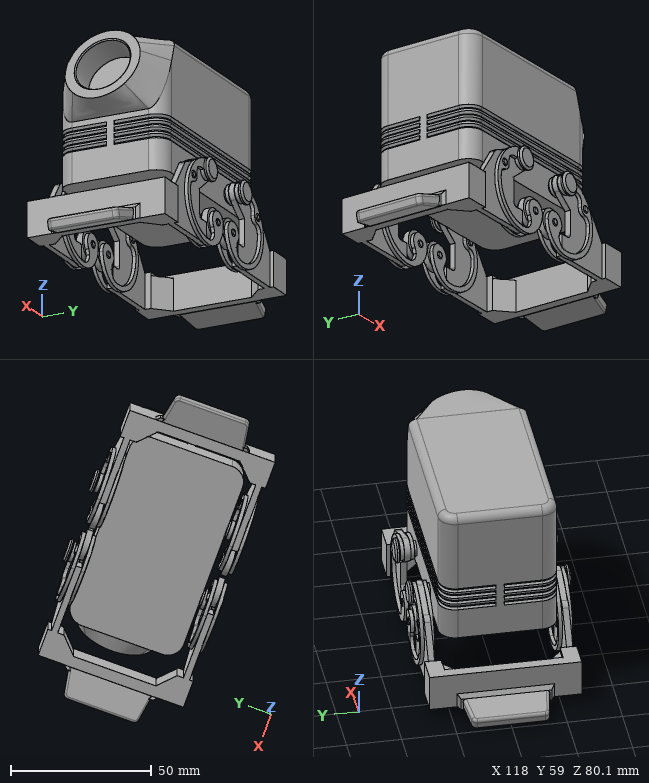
import cadquery as cq
import math


OVERLAP = 1.2

HOOD_HALF_LENGTH = 36.4
HOOD_HALF_WIDTH = 21.5
HOOD_BOTTOM = 22.0
HOOD_TOP = 73.9
HOOD_CORNER_RADIUS = 6.1
HOOD_TOP_FILLET = 3.0

GROOVE_COUNT = 4
GROOVE_PITCH = 2.5
GROOVE_LOWER_FLANK = 0.7
GROOVE_UPPER_FLANK = 1.0
GROOVE_DEPTH = 0.7
LOWEST_GROOVE = 34.2
GROOVE_BRIDGE_WIDTH = 3.1

OUTLET_TILT = 17.7
OUTLET_LENGTH = 11.0
OUTLET_RADIUS = 14.9
OUTLET_BORE_RADIUS = 10.7
OUTLET_BORE_CHAMFER = 0.5
OUTLET_START_X = 27.4
RIM_ANGLES = (46, 61, 78, 136)

BRACKET_OUTER_X = 47.5
BRACKET_LENGTH = 10.1
BRACKET_HEIGHT = 13.9
BRACKET_HALF_WIDTH = 27.6
BRACKET_WALL = 4.0
BRACKET_ARM = 6.1
GUSSET_SIZE = 5.9
GUSSET_HEIGHT = 12.5

HANDLE_TIP_X = 59.0
HANDLE_LOWEST_Z = -2.8
HANDLE_TILT = 15.0
HANDLE_THICKNESS = 4.4
HANDLE_UPPER_FILLET = 1.2
HANDLE_LOWER_FILLET = 0.7
HANDLE_ROOT_HALF_WIDTH = 16.4
HANDLE_TIP_HALF_WIDTH = 13.9
HANDLE_CORNER_RADIUS = 1.9
FLARE_LENGTH = 1.3
FLARE_HALF_WIDTH = 17.7
FLARE_TOP = 5.7

PLATE_INNER_Y = 23.8
PLATE_OUTER_Y = 26.2
LEVER_INNER_Y = 22.4
LEVER_OUTER_Y = BRACKET_HALF_WIDTH
RIVET_HEIGHT = 0.4
RIVET_RADIUS = 1.4

PIN_X = 13.4
PIN_Z = 27.8
PIN_RADIUS = 2.8
PIN_HEAD_RADIUS = 4.5
PIN_HEAD_INNER_Y = 28.0
PIN_HEAD_OUTER_Y = 29.5
PIN_HEAD_CHAMFER = (0.7, 1.0)

PLATE_EYE_RADIUS = 4.1
PLATE_EYE_START = 112
PLATE_EYE_MIDDLE = 30
PLATE_EYE_END = -51
PLATE_SHOULDER_LOW = (-29.5, 25.2)
PLATE_SHOULDER_MID = (-28.5, 26.2)
PLATE_SHOULDER_HIGH = (-26.9, 26.8)
NOTCH_LEFT_X = -17.6
NOTCH_UPPER_Z = 19.6
NOTCH_FLOOR_Z = 8.5
NOTCH_FILLET = 1.5
PLATE_END_X = -12.3

LEVER_RING_RADIUS = 16.0
LEVER_RING_WIDTH = 2.0
LEVER_EYE_RADIUS = 3.8
LEVER_LUG = (-11.7, -5.5)
LEVER_LUG_RADIUS = 2.6
LEVER_CURL = (7.4, -17.6)
LEVER_CURL_RADIUS = 4.2
LEVER_ARM_END = (-6.1, -1.0)
LEVER_ARM_BEND = (-8.3, -1.9)
LEVER_ARM_FOOT_Z = -3.9
LEVER_LUG_BEND = (-13.3, -9.2)
LEVER_HOOK_BEND = (4.0, -24.6)
LEVER_HOOK_END = (4.8, -22.3)
LEVER_TAIL_BEND = (8.6, -24.8)
ROLLER_RADIUS = 5.5


def polar(centre, radius, angle):
    """Point on a circle, angle in degrees from the first axis."""
    turn = math.radians(angle)
    return centre[0] + radius * math.cos(turn), centre[1] + radius * math.sin(turn)


def slab(outline, inner_y, outer_y):
    """Extrude an XZ outline between two distances on the -Y side."""
    return outline.extrude(outer_y - inner_y).translate((0, -inner_y, 0))


def disc(centre, radius, inner_y, outer_y):
    return slab(cq.Workplane("XZ").center(*centre).circle(radius), inner_y, outer_y)


def make_hood():
    hood = (
        cq.Workplane("XY", origin=(0, 0, HOOD_BOTTOM))
        .rect(2 * HOOD_HALF_LENGTH, 2 * HOOD_HALF_WIDTH)
        .extrude(HOOD_TOP - HOOD_BOTTOM)
        .edges("|Z").fillet(HOOD_CORNER_RADIUS)
        .faces(">Z").edges().fillet(HOOD_TOP_FILLET)
    )
    for index in range(GROOVE_COUNT):
        hood = hood.cut(make_groove(LOWEST_GROOVE + index * GROOVE_PITCH))
    return hood


def hood_slice(bottom_z, height, inset, flare):
    """Slice with the hood's plan, set inwards by inset and widening upwards by flare."""
    return (
        cq.Workplane("XY", origin=(0, 0, bottom_z))
        .sketch()
        .rect(2 * (HOOD_HALF_LENGTH - inset), 2 * (HOOD_HALF_WIDTH - inset))
        .vertices()
        .fillet(HOOD_CORNER_RADIUS - inset)
        .finalize()
        .extrude(height, taper=-math.degrees(math.atan(flare / height)))
    )


def make_groove(bottom_z):
    """V-shaped ring around the hood, interrupted by a bridge on both end faces."""
    height = GROOVE_LOWER_FLANK + GROOVE_UPPER_FLANK
    block = cq.Workplane("XY", origin=(0, 0, bottom_z))
    ring = block.rect(3 * HOOD_HALF_LENGTH, 3 * HOOD_HALF_WIDTH).extrude(height)
    bridge = block.rect(3 * HOOD_HALF_LENGTH, GROOVE_BRIDGE_WIDTH).extrude(height)
    lower = hood_slice(bottom_z, GROOVE_LOWER_FLANK, 0, -GROOVE_DEPTH)
    upper = hood_slice(bottom_z + GROOVE_LOWER_FLANK, GROOVE_UPPER_FLANK, GROOVE_DEPTH, GROOVE_DEPTH)
    return ring.cut(lower).cut(upper).cut(bridge)


def make_outlet():
    """Ruled loft from the tilted section through the hood to a round rim, and its bore."""
    tilt = math.radians(OUTLET_TILT)
    base = cq.Plane(
        origin=(OUTLET_START_X, 0, HOOD_TOP),
        xDir=(0, 1, 0),
        normal=(math.cos(tilt), 0, math.sin(tilt)),
    )
    fillet_height = HOOD_TOP_FILLET / math.cos(tilt)
    corner_height = HOOD_CORNER_RADIUS / math.sin(tilt)
    section_bottom = -(HOOD_HALF_LENGTH - OUTLET_START_X) / math.sin(tilt)
    corner_start = section_bottom + corner_height
    flat_top = HOOD_HALF_WIDTH - HOOD_TOP_FILLET
    flat_bottom = HOOD_HALF_WIDTH - HOOD_CORNER_RADIUS
    section = (
        cq.Workplane(base)
        .moveTo(-flat_top, 0)
        .lineTo(flat_top, 0)
        .ellipseArc(HOOD_TOP_FILLET, fillet_height, 0, 90, sense=-1, startAtCurrent=True)
        .lineTo(HOOD_HALF_WIDTH, corner_start)
        .ellipseArc(HOOD_CORNER_RADIUS, corner_height, 270, 360, sense=-1, startAtCurrent=True)
        .lineTo(-flat_bottom, section_bottom)
        .ellipseArc(HOOD_CORNER_RADIUS, corner_height, 180, 270, sense=-1, startAtCurrent=True)
        .lineTo(-HOOD_HALF_WIDTH, -fillet_height)
        .ellipseArc(HOOD_TOP_FILLET, fillet_height, 90, 180, sense=-1, startAtCurrent=True)
        .close()
    )
    centre = (0, section_bottom / 2)
    stops = RIM_ANGLES + tuple(360 - angle for angle in reversed(RIM_ANGLES))
    rim = cq.Workplane(base).workplane(offset=OUTLET_LENGTH)
    rim = rim.moveTo(*polar(centre, OUTLET_RADIUS, 90 - stops[-1]))
    previous = stops[-1] - 360
    for stop in stops:
        middle = polar(centre, OUTLET_RADIUS, 90 - (previous + stop) / 2)
        rim = rim.threePointArc(middle, polar(centre, OUTLET_RADIUS, 90 - stop))
        previous = stop
    rim = rim.close()
    spout = cq.Solid.makeLoft([section.val(), rim.val()], True)
    bore = (
        cq.Workplane(base)
        .center(*centre)
        .circle(OUTLET_BORE_RADIUS)
        .extrude(OUTLET_LENGTH)
    )
    flared_mouth = (
        cq.Workplane(base)
        .workplane(offset=OUTLET_LENGTH)
        .center(*centre)
        .circle(OUTLET_BORE_RADIUS + OUTLET_BORE_CHAMFER)
        .extrude(-OUTLET_BORE_CHAMFER, taper=45)
    )
    bore = bore.union(flared_mouth)
    beyond = (
        cq.Workplane(base)
        .center(*centre)
        .rect(3 * HOOD_HALF_WIDTH, 2 * OVERLAP - section_bottom)
        .extrude(OUTLET_LENGTH)
    )
    return cq.Workplane(spout), bore, beyond


def make_bracket():
    """U-shaped end bracket on the -X side with corner gussets."""
    inner_x = BRACKET_LENGTH - BRACKET_OUTER_X
    wall_x = BRACKET_WALL - BRACKET_OUTER_X
    arm_y = BRACKET_HALF_WIDTH - BRACKET_ARM
    bracket = (
        cq.Workplane("XY")
        .polyline([
            (-BRACKET_OUTER_X, -BRACKET_HALF_WIDTH),
            (inner_x, -BRACKET_HALF_WIDTH),
            (inner_x, -arm_y),
            (wall_x, -arm_y),
            (wall_x, arm_y),
            (inner_x, arm_y),
            (inner_x, BRACKET_HALF_WIDTH),
            (-BRACKET_OUTER_X, BRACKET_HALF_WIDTH),
        ])
        .close()
        .extrude(BRACKET_HEIGHT)
    )
    for side in (-1, 1):
        gusset = (
            cq.Workplane("XY")
            .polyline([
                (wall_x, side * arm_y),
                (inner_x, side * arm_y),
                (wall_x, side * (arm_y - GUSSET_SIZE)),
            ])
            .close()
            .extrude(GUSSET_HEIGHT)
        )
        bracket = bracket.union(gusset)
    return bracket


def make_handle():
    """Drooping grip with rounded edges and a flared root on the bracket face."""
    tilt = math.radians(HANDLE_TILT)
    root_x = -BRACKET_OUTER_X - FLARE_LENGTH
    flat = HANDLE_THICKNESS - HANDLE_UPPER_FILLET - HANDLE_LOWER_FILLET
    fillet_step = HANDLE_UPPER_FILLET - HANDLE_LOWER_FILLET
    upper_round = (
        HANDLE_UPPER_FILLET - HANDLE_TIP_X,
        HANDLE_LOWEST_Z + HANDLE_LOWER_FILLET + flat * math.cos(tilt) + fillet_step * math.sin(tilt),
    )
    tip_plane = cq.Plane(
        origin=(upper_round[0], 0, upper_round[1]),
        xDir=(math.cos(tilt), 0, math.sin(tilt)),
        normal=(-math.sin(tilt), 0, math.cos(tilt)),
    )
    reach = (root_x - upper_round[0]) / math.cos(tilt) + HANDLE_THICKNESS
    grip = (
        cq.Workplane(tip_plane)
        .workplane(offset=HANDLE_UPPER_FILLET - HANDLE_THICKNESS)
        .polyline([
            (-HANDLE_UPPER_FILLET, -HANDLE_TIP_HALF_WIDTH),
            (reach, -HANDLE_ROOT_HALF_WIDTH),
            (reach, HANDLE_ROOT_HALF_WIDTH),
            (-HANDLE_UPPER_FILLET, HANDLE_TIP_HALF_WIDTH),
        ])
        .close()
        .extrude(HANDLE_THICKNESS)
    )
    thickness_edges = cq.selectors.ParallelDirSelector(tip_plane.zDir)
    grip = grip.edges(thickness_edges).edges("<X").fillet(HANDLE_CORNER_RADIUS)
    upper_face = cq.selectors.DirectionMinMaxSelector(tip_plane.zDir)
    lower_face = cq.selectors.DirectionMinMaxSelector(tip_plane.zDir, directionMax=False)
    grip = grip.faces(lower_face).edges().fillet(HANDLE_LOWER_FILLET)
    grip = grip.faces(upper_face).edges().fillet(HANDLE_UPPER_FILLET)
    keep = (
        cq.Workplane("XY", origin=(-HANDLE_TIP_X, 0, 0))
        .box(2 * (HANDLE_TIP_X - BRACKET_OUTER_X), 3 * HANDLE_ROOT_HALF_WIDTH, 3 * BRACKET_HEIGHT)
    )
    root_rise = (root_x - upper_round[0]) * math.tan(tilt)
    root_top = upper_round[1] + root_rise + HANDLE_UPPER_FILLET / math.cos(tilt)
    root_bottom = root_top - HANDLE_THICKNESS / math.cos(tilt)
    flare = (
        cq.Workplane("YZ", origin=(-BRACKET_OUTER_X, 0, 0))
        .center(0, FLARE_TOP / 2)
        .rect(2 * FLARE_HALF_WIDTH, FLARE_TOP)
        .workplane(offset=-FLARE_LENGTH)
        .center(0, (root_top + root_bottom - FLARE_TOP) / 2)
        .rect(2 * HANDLE_ROOT_HALF_WIDTH, root_top - root_bottom)
        .loft(ruled=True)
    )
    return grip.intersect(keep).union(flare)


def make_side_plate():
    """Plate on the -X, -Y quarter that joins the bracket to the pin eye."""
    pin = (-PIN_X, PIN_Z)
    root_x = BRACKET_LENGTH - BRACKET_OUTER_X
    outline = (
        cq.Workplane("XZ")
        .moveTo(root_x - OVERLAP, 0)
        .lineTo(root_x - OVERLAP, BRACKET_HEIGHT)
        .lineTo(root_x, BRACKET_HEIGHT)
        .lineTo(*PLATE_SHOULDER_LOW)
        .threePointArc(PLATE_SHOULDER_MID, PLATE_SHOULDER_HIGH)
        .lineTo(*polar(pin, PLATE_EYE_RADIUS, PLATE_EYE_START))
        .threePointArc(
            polar(pin, PLATE_EYE_RADIUS, PLATE_EYE_MIDDLE),
            polar(pin, PLATE_EYE_RADIUS, PLATE_EYE_END),
        )
        .lineTo(NOTCH_LEFT_X, NOTCH_UPPER_Z)
        .lineTo(NOTCH_LEFT_X, NOTCH_FLOOR_Z + NOTCH_FILLET)
        .radiusArc((NOTCH_LEFT_X + NOTCH_FILLET, NOTCH_FLOOR_Z), -NOTCH_FILLET)
        .lineTo(PLATE_END_X, NOTCH_FLOOR_Z)
        .lineTo(PLATE_END_X, 0)
        .close()
    )
    return slab(outline, PLATE_INNER_Y, PLATE_OUTER_Y)


def make_lever_layer(inner_y, outer_y):
    """One C-shaped lever sheet that ends in a curl around the roller."""
    ring = (0, LEVER_EYE_RADIUS - LEVER_RING_RADIUS)
    inner_radius = LEVER_RING_RADIUS - LEVER_RING_WIDTH
    lug_right = LEVER_LUG[0] + LEVER_LUG_RADIUS
    outline = (
        cq.Workplane("XZ", origin=(-PIN_X, 0, PIN_Z))
        .moveTo(0, LEVER_EYE_RADIUS)
        .threePointArc((LEVER_EYE_RADIUS, 0), polar((0, 0), LEVER_EYE_RADIUS, -165))
        .lineTo(*LEVER_ARM_END)
        .threePointArc(LEVER_ARM_BEND, (lug_right, LEVER_ARM_FOOT_Z))
        .lineTo(lug_right, LEVER_LUG[1])
        .threePointArc(
            polar(LEVER_LUG, LEVER_LUG_RADIUS, -45),
            polar(LEVER_LUG, LEVER_LUG_RADIUS, -90),
        )
        .threePointArc(LEVER_LUG_BEND, polar(ring, inner_radius, 175))
        .threePointArc(polar(ring, inner_radius, 225), polar(ring, inner_radius, 277))
        .threePointArc(LEVER_HOOK_BEND, LEVER_HOOK_END)
        .lineTo(*polar(LEVER_CURL, LEVER_CURL_RADIUS, 220))
        .threePointArc(
            polar(LEVER_CURL, LEVER_CURL_RADIUS, 110),
            polar(LEVER_CURL, LEVER_CURL_RADIUS, 0),
        )
        .threePointArc(LEVER_TAIL_BEND, polar(ring, LEVER_RING_RADIUS, 270))
        .threePointArc(polar(ring, LEVER_RING_RADIUS, 180), (0, LEVER_EYE_RADIUS))
        .close()
    )
    return slab(outline, inner_y, outer_y)


def make_lever():
    curl = (LEVER_CURL[0] - PIN_X, LEVER_CURL[1] + PIN_Z)
    lug = (LEVER_LUG[0] - PIN_X, LEVER_LUG[1] + PIN_Z)
    lever = make_lever_layer(PLATE_OUTER_Y, LEVER_OUTER_Y)
    lever = lever.union(make_lever_layer(LEVER_INNER_Y, PLATE_INNER_Y))
    lever = lever.union(disc(curl, ROLLER_RADIUS, PLATE_INNER_Y, PLATE_OUTER_Y))
    for centre in (curl, lug):
        rivet = disc(centre, RIVET_RADIUS, LEVER_INNER_Y - RIVET_HEIGHT, LEVER_OUTER_Y + RIVET_HEIGHT)
        lever = lever.union(rivet.faces("|Y").chamfer(RIVET_HEIGHT))
    return lever


def make_pin():
    pin = (-PIN_X, PIN_Z)
    shank = disc(pin, PIN_RADIUS, HOOD_HALF_WIDTH - OVERLAP, PIN_HEAD_OUTER_Y)
    head = disc(pin, PIN_HEAD_RADIUS, PIN_HEAD_INNER_Y, PIN_HEAD_OUTER_Y)
    head = head.faces("<Y").chamfer(*PIN_HEAD_CHAMFER)
    return shank.union(head)


quarter = make_side_plate().union(make_lever()).union(make_pin())
end = make_bracket().union(make_handle()).union(quarter).union(quarter.mirror("XZ"))
spout, bore, beyond = make_outlet()
hood = make_hood().cut(beyond).union(spout).cut(bore)
result = hood.union(end).union(end.mirror("YZ"))